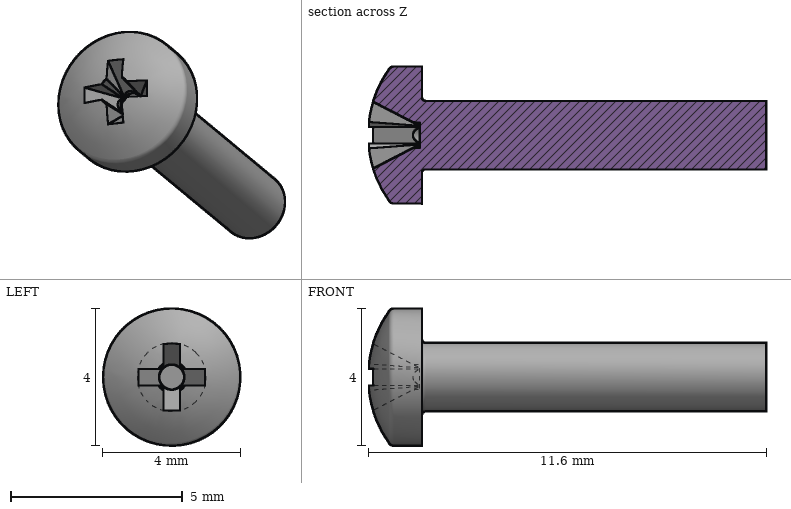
import cadquery as cq
import math

total_length = 11.57
shank_length = 10.02
shank_radius = 2.0 / 2
head_radius = 4.0 / 2
neck_fillet = 0.1

shoulder_radius = 0.17
dome_radius = 3.3

core_mouth_radius = 0.45
core_floor_radius = 0.36
wing_reach = 0.97
wing_width = 0.47
recess_depth = 1.48
recess_clearance = 0.12

wing_floor_reach = math.sqrt(core_floor_radius**2 - (wing_width / 2)**2)

head_face = 0.0
underside = total_length - shank_length
crown = head_face - (dome_radius - math.sqrt(dome_radius**2 - core_mouth_radius**2))
dome_center = crown + dome_radius

shoulder_center_radius = head_radius - shoulder_radius
center_distance = dome_radius - shoulder_radius
shoulder_center = dome_center - math.sqrt(center_distance**2 - shoulder_center_radius**2)
edge_angle = math.asin(shoulder_center_radius / center_distance)
shoulder_mid_angle = (edge_angle + math.pi / 2) / 2


def arc_point(center_x, center_r, radius, angle):
    """Point on an arc in the (x, radius) plane, angle measured from -X."""
    return center_x - radius * math.cos(angle), center_r + radius * math.sin(angle)


def make_screw_body():
    profile = (
        cq.Workplane("XY")
        .moveTo(crown, 0)
        .threePointArc(
            arc_point(dome_center, 0, dome_radius, edge_angle / 2),
            arc_point(dome_center, 0, dome_radius, edge_angle),
        )
        .threePointArc(
            arc_point(shoulder_center, shoulder_center_radius, shoulder_radius, shoulder_mid_angle),
            (shoulder_center, head_radius),
        )
        .lineTo(underside, head_radius)
        .lineTo(underside, shank_radius + neck_fillet)
        .radiusArc((underside + neck_fillet, shank_radius), -neck_fillet)
        .lineTo(total_length, shank_radius)
        .lineTo(total_length, 0)
        .close()
    )
    return profile.revolve(360, (0, 0, 0), (1, 0, 0))


def make_recess():
    front = crown - recess_clearance
    wing_mouth = dome_center - math.sqrt(dome_radius**2 - wing_reach**2)
    floor = head_face + recess_depth
    core_slope = (core_mouth_radius - core_floor_radius) / recess_depth
    wing_slope = (wing_reach - wing_floor_reach) / (floor - wing_mouth)
    core_front_radius = core_floor_radius + core_slope * (floor - front)
    wing_front_reach = wing_floor_reach + wing_slope * (floor - front)

    core = (
        cq.Workplane("XY")
        .polyline([(front, 0), (front, core_front_radius), (floor, core_floor_radius), (floor, 0)])
        .close()
        .revolve(360, (0, 0, 0), (1, 0, 0))
    )
    wing_pair = (
        cq.Workplane("XY")
        .polyline([
            (front, -wing_front_reach),
            (front, wing_front_reach),
            (floor, wing_floor_reach),
            (floor, -wing_floor_reach),
        ])
        .close()
        .extrude(wing_width / 2, both=True)
    )
    crossed_pair = wing_pair.rotate((0, 0, 0), (1, 0, 0), 90)
    return core.union(wing_pair).union(crossed_pair)


result = make_screw_body().cut(make_recess())